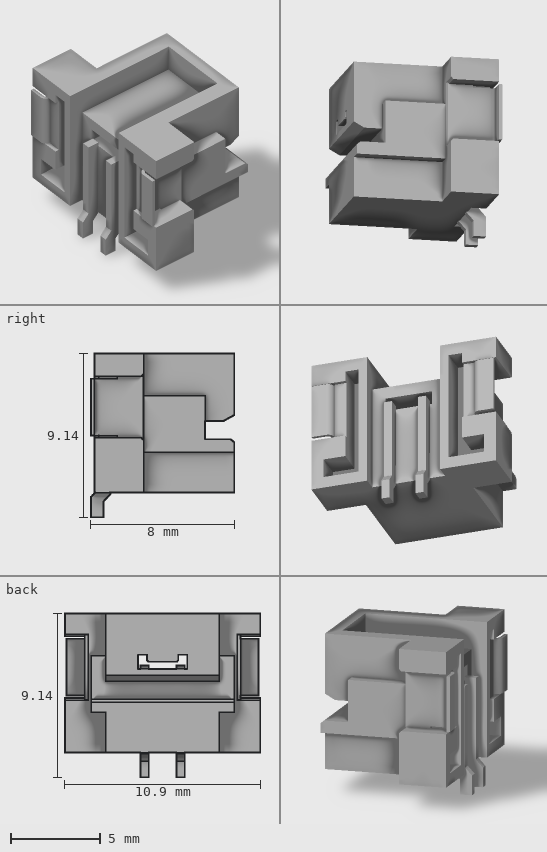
import cadquery as cq

width = 10.9
height = 7.77
rear_y = 7.8
body_width = 6.34

ear_inner_x = 2.15
ear_depth = 2.75

core_height = 6.17
core_front_y = 0.86
core_draft = 0.03
pocket_rear_y = 7.11

window_width = 2.72
window_floor_z = 4.68
window_roof_z = 5.46
lug_width = 1.77
lug_drop = 0.39
lug_chamfer = 0.1

rail_width = 7.98
rail_bottom_z = 2.27
rail_top_z = 5.42

rear_slot_y = 6.18
rear_slot_bottom_z = 2.99
rear_slot_top_z = 4.0
slot_lip_depth = 0.21
slot_lip_rise = 0.16
slot_lead_in_depth = 0.6
slot_lead_in_rise = 0.33

ell_inner_x = 2.65
ell_outer_x = 3.44
ell_foot_x = 4.73
ell_bottom_z = 0.66
ell_foot_z = 1.77
ell_top_z = 7.07
ell_depth = 1.61

notch_bottom_z = 3.06
notch_top_z = 6.49
notch_flare = 0.13
ledge_front_y = 0.24

clip_inner_x = 4.15
clip_lip_x = 5.36
clip_thickness = 0.2
clip_bend_radius = 0.36
clip_front_y = -0.2
clip_rear_y = 2.71
clip_shoulder_y = 1.26
clip_side_gap = 0.12

pin_pitch = 2.01
pin_width = 0.48
pin_thickness = 0.71
pin_top_z = 4.87
pin_bottom_z = -1.37
pin_front_y = 0.21
pin_foot_y = -0.2
pin_bend_front_top_z = 0.2
pin_bend_front_bottom_z = -0.24
pin_bend_rear_top_z = -0.05
pin_bend_rear_bottom_z = -0.49


def box(x_min, x_max, y_min, y_max, z_min, z_max):
    """Axis-aligned block between two opposite corners."""
    size = (x_max - x_min, y_max - y_min, z_max - z_min)
    return cq.Workplane("XY").box(*size, centered=False).translate((x_min, y_min, z_min))


def centred_box(x_size, y_min, y_max, z_min, z_max):
    """Block centred on X."""
    return box(-x_size / 2, x_size / 2, y_min, y_max, z_min, z_max)


def side_profile(points, x_size):
    """Prism centred on X from an outline of (y, z) points."""
    return cq.Workplane("YZ").polyline(points).close().extrude(x_size / 2, both=True)


def both_sides(solid):
    """The solid together with its mirror image across X = 0."""
    return solid.union(solid.mirror("YZ"))


def make_housing():
    body = centred_box(body_width, 0, rear_y, 0, height)
    rails = centred_box(rail_width, 0, rear_y, rail_bottom_z, rear_slot_top_z)
    rails = rails.union(centred_box(rail_width, 0, rear_slot_y, rail_bottom_z, rail_top_z))
    ears = centred_box(width, 0, ear_depth, 0, height)
    return body.union(rails).union(ears)


def make_pocket():
    """Space in front of the core and above it."""
    outline = [
        (0, 0),
        (core_front_y, 0),
        (core_front_y + core_draft, core_height),
        (pocket_rear_y - core_draft, core_height),
        (pocket_rear_y, height),
        (0, height),
    ]
    return side_profile(outline, 2 * ear_inner_x)


def make_rear_slot():
    outline = [
        (rear_slot_y, rear_slot_bottom_z),
        (rear_y - slot_lip_depth, rear_slot_bottom_z),
        (rear_y, rear_slot_bottom_z - slot_lip_rise),
        (rear_y, rear_slot_top_z + slot_lead_in_rise),
        (rear_y - slot_lead_in_depth, rear_slot_top_z),
        (rear_slot_y, rear_slot_top_z),
    ]
    return side_profile(outline, rail_width)


def make_lug():
    lug = centred_box(lug_width, pocket_rear_y, rear_y, window_roof_z - lug_drop, window_roof_z)
    return lug.edges("|Y and <Z").chamfer(lug_chamfer)


def make_ell_slot():
    upright = box(ell_inner_x, ell_outer_x, 0, ell_depth, ell_bottom_z, ell_top_z)
    foot = box(ell_inner_x, ell_foot_x, 0, ell_depth, ell_bottom_z, ell_foot_z)
    return upright.union(foot)


def make_notch():
    """Side notch, flared at its rear mouth, with the ledge beside it set back from the front."""
    outline = [
        (0, notch_bottom_z),
        (ear_depth - notch_flare, notch_bottom_z),
        (ear_depth, notch_bottom_z - notch_flare),
        (ear_depth, notch_top_z + notch_flare),
        (ear_depth - notch_flare, notch_top_z),
        (0, notch_top_z),
    ]
    opening = side_profile(outline, width)
    opening = opening.intersect(box(clip_inner_x, width / 2, 0, ear_depth, 0, height))
    setback = box(ell_outer_x, clip_inner_x, 0, ledge_front_y, notch_bottom_z, notch_top_z)
    return opening.union(setback)


def make_clip():
    """Bent strip, with a plate behind its shoulders that fills the height of the notch."""
    outer_x = clip_inner_x + clip_thickness
    bend_x = clip_inner_x + clip_bend_radius
    bend_y = clip_front_y + clip_bend_radius
    inner_radius = clip_bend_radius - clip_thickness
    strip_bottom_z = notch_bottom_z + clip_side_gap
    strip_height = notch_top_z - notch_bottom_z - 2 * clip_side_gap
    strip = (
        cq.Workplane("XY", origin=(0, 0, strip_bottom_z))
        .moveTo(clip_inner_x, clip_shoulder_y)
        .lineTo(clip_inner_x, bend_y)
        .radiusArc((bend_x, clip_front_y), -clip_bend_radius)
        .lineTo(clip_lip_x, clip_front_y)
        .lineTo(clip_lip_x, clip_front_y + clip_thickness)
        .lineTo(bend_x, clip_front_y + clip_thickness)
        .radiusArc((outer_x, bend_y), inner_radius)
        .lineTo(outer_x, clip_shoulder_y)
        .close()
        .extrude(strip_height)
    )
    plate_space = box(clip_inner_x, outer_x, clip_shoulder_y, clip_rear_y, 0, height)
    return strip.union(make_notch().intersect(plate_space))


def make_pin():
    pin_rear_y = pin_front_y + pin_thickness
    foot_rear_y = pin_foot_y + pin_thickness
    outline = [
        (pin_front_y, pin_top_z),
        (pin_front_y, pin_bend_front_top_z),
        (pin_foot_y, pin_bend_front_bottom_z),
        (pin_foot_y, pin_bottom_z),
        (foot_rear_y, pin_bottom_z),
        (foot_rear_y, pin_bend_rear_bottom_z),
        (pin_rear_y, pin_bend_rear_top_z),
        (pin_rear_y, pin_top_z),
    ]
    return side_profile(outline, pin_width)


housing = make_housing().cut(make_pocket()).cut(make_rear_slot())
housing = housing.cut(centred_box(window_width, 0, rear_y, window_floor_z, window_roof_z))
housing = housing.union(make_lug())
housing = housing.cut(both_sides(make_ell_slot())).cut(both_sides(make_notch()))

result = housing.union(both_sides(make_clip()))
result = result.union(both_sides(make_pin().translate((pin_pitch / 2, 0, 0))))